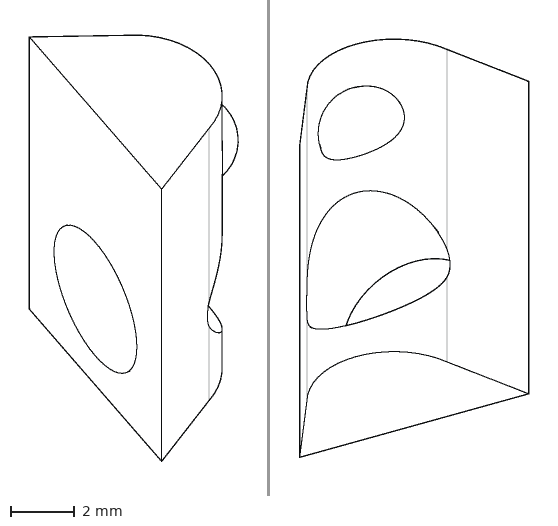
import cadquery as cq
import math

height = 12.0
width = height * 2 / 3
ridge_depth = 4.2
flank_angle = math.radians(60)

hole_diameter = 5.0
hole_height = 3.79

ball_radius = 1.5
ball_height = 9.0
overall_depth = 5.0
ball_center = (0, overall_depth - ball_radius, ball_height)

half_width = width / 2
flank_depth = 2.69
arc_half_width = half_width - flank_depth / math.tan(flank_angle)


def make_ball():
    return cq.Workplane("XY").sphere(ball_radius).translate(ball_center)


def make_block():
    ridge = (
        cq.Workplane("XY")
        .moveTo(-half_width, 0)
        .lineTo(half_width, 0)
        .lineTo(arc_half_width, flank_depth)
        .threePointArc((0, ridge_depth), (-arc_half_width, flank_depth))
        .close()
        .extrude(height)
    )
    hole = (
        cq.Workplane("XZ")
        .center(0, hole_height)
        .circle(hole_diameter / 2)
        .extrude(-overall_depth)
    )
    return ridge.cut(hole).cut(make_ball())


block = make_block()
ball = make_ball()

result = cq.Compound.makeCompound([block.val(), ball.val()])